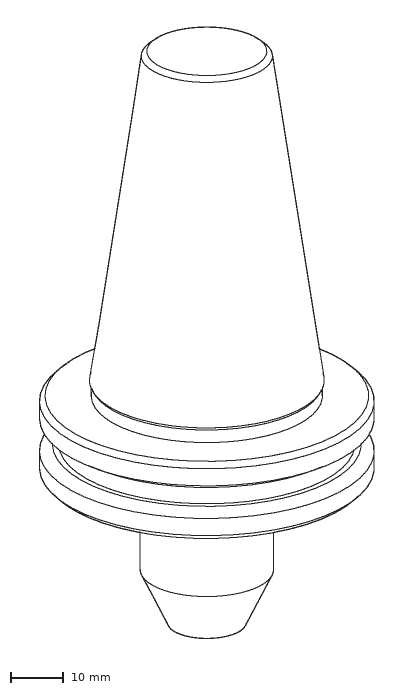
import cadquery as cq
import math

total_height = 118.4
gauge_height = 50.2
neck_top = 49.6
flange_top = 47.0
flange_bottom = 31.0
pilot_shoulder = 11.0

gauge_radius = 22.3
taper_slope = 7 / 48
taper_end_chamfer = 1.0
neck_radius = 21.9

flange_radius = 31.7
flange_chamfer = 1.1
groove_floor_radius = 28.1
groove_floor_width = 3.9
groove_mouth_width = 6.7
groove_wall_angle = math.radians(30)

pilot_radius = 12.7
pilot_tip_radius = 7.5
pilot_fillet = 1.9

taper_end_radius = gauge_radius - taper_slope * (total_height - gauge_height)
end_face_radius = taper_end_radius - taper_end_chamfer
chamfer_base_height = total_height - taper_end_chamfer
chamfer_base_radius = taper_end_radius + taper_slope * taper_end_chamfer

groove_center = (flange_top + flange_bottom) / 2
floor_half = groove_floor_width / 2
mouth_half = groove_mouth_width / 2
groove_step_radius = flange_radius - (mouth_half - floor_half) / math.tan(groove_wall_angle)

fillet_mid_offset = pilot_fillet * (1 - math.sqrt(0.5))

profile = (
    cq.Workplane("XZ")
    .moveTo(0, 0)
    .lineTo(pilot_tip_radius, 0)
    .lineTo(pilot_radius, pilot_shoulder)
    .lineTo(pilot_radius, flange_bottom - pilot_fillet)
    .threePointArc(
        (pilot_radius + fillet_mid_offset, flange_bottom - fillet_mid_offset),
        (pilot_radius + pilot_fillet, flange_bottom),
    )
    .lineTo(flange_radius - flange_chamfer, flange_bottom)
    .lineTo(flange_radius, flange_bottom + flange_chamfer)
    .lineTo(flange_radius, groove_center - mouth_half)
    .lineTo(groove_step_radius, groove_center - floor_half)
    .lineTo(groove_floor_radius, groove_center - floor_half)
    .lineTo(groove_floor_radius, groove_center + floor_half)
    .lineTo(groove_step_radius, groove_center + floor_half)
    .lineTo(flange_radius, groove_center + mouth_half)
    .lineTo(flange_radius, flange_top - flange_chamfer)
    .lineTo(flange_radius - flange_chamfer, flange_top)
    .lineTo(neck_radius, flange_top)
    .lineTo(neck_radius, neck_top)
    .lineTo(gauge_radius, gauge_height)
    .lineTo(chamfer_base_radius, chamfer_base_height)
    .lineTo(end_face_radius, total_height)
    .lineTo(0, total_height)
    .close()
)

result = profile.revolve(360, (0, 0, 0), (0, 1, 0))